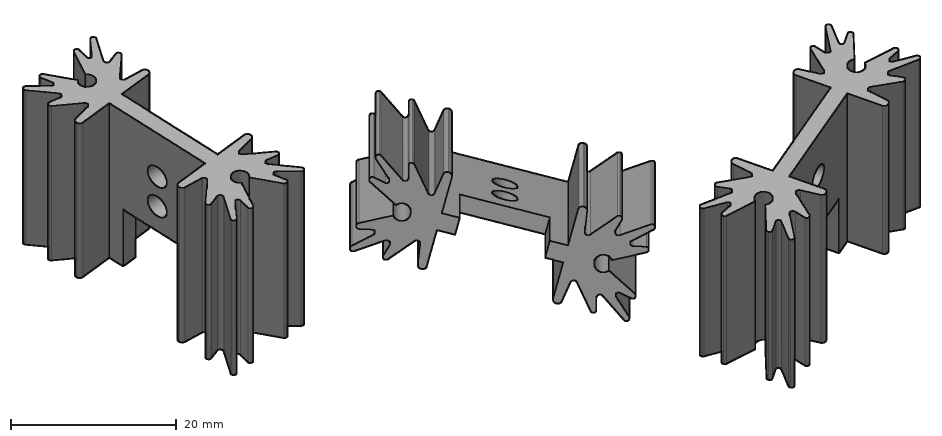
import cadquery as cq

length = 34.92
depth = 12.7
height = 25.4

web_thickness = 2.25
web_half_length = 7.9
mount_hole_diameter = 3.18
mount_hole_drops = (7.12, 11.98)
notch_width = 11.25
notch_height = 9.32

channel_diameter = 2.25
channel_x = 12.6
mouth_apex_x = 12.22

half_length = length / 2
half_depth = depth / 2

SHARP = 0
WIDE_TIP = 0.52
TIP = 0.35
WIDE_VALLEY = 0.42
VALLEY = 0.35
quarter_corners = [
    (0, 0, SHARP),
    (0, web_thickness / 2, SHARP),
    (web_half_length, web_thickness / 2, SHARP),
    (web_half_length, half_depth, WIDE_TIP),
    (8.95, half_depth, WIDE_TIP),
    (9.55, 2.4, WIDE_VALLEY),
    (12.78, half_depth, TIP),
    (13.45, half_depth, TIP),
    (12.65, 3.3, WIDE_VALLEY),
    (16.97, half_depth, TIP),
    (half_length, half_depth, TIP),
    (half_length, 5.8, TIP),
    (14.25, 2.8, VALLEY),
    (half_length, 3.5, TIP),
    (half_length, 2.8, TIP),
    (mouth_apex_x, 0, SHARP),
]


def make_quarter():
    """Extrude one quarter of the section and round its fin tips and valleys."""
    outline = [(x, y) for x, y, radius in quarter_corners]
    quarter = cq.Workplane("XY").polyline(outline).close().extrude(height)
    for x, y, radius in quarter_corners:
        if radius > 0:
            corner_edge = cq.selectors.NearestToPointSelector((x, y, height / 2))
            quarter = quarter.edges("|Z").edges(corner_edge).fillet(radius)
    return quarter


def make_body():
    """Mirror the quarter into the full finned extrusion."""
    quarter = make_quarter()
    half = quarter.union(quarter.mirror("XZ"))
    return half.union(half.mirror("YZ")).clean()


def make_channels():
    channel_centers = [(-channel_x, 0), (channel_x, 0)]
    return cq.Workplane("XY").pushPoints(channel_centers).circle(channel_diameter / 2).extrude(height)


def make_mount_holes():
    hole_centers = [(0, height - drop) for drop in mount_hole_drops]
    holes = cq.Workplane("XZ").pushPoints(hole_centers).circle(mount_hole_diameter / 2)
    return holes.extrude(web_thickness, both=True)


def make_notch():
    return cq.Workplane("XY").box(notch_width, depth, notch_height, centered=(True, True, False))


result = make_body().cut(make_channels()).cut(make_mount_holes()).cut(make_notch())